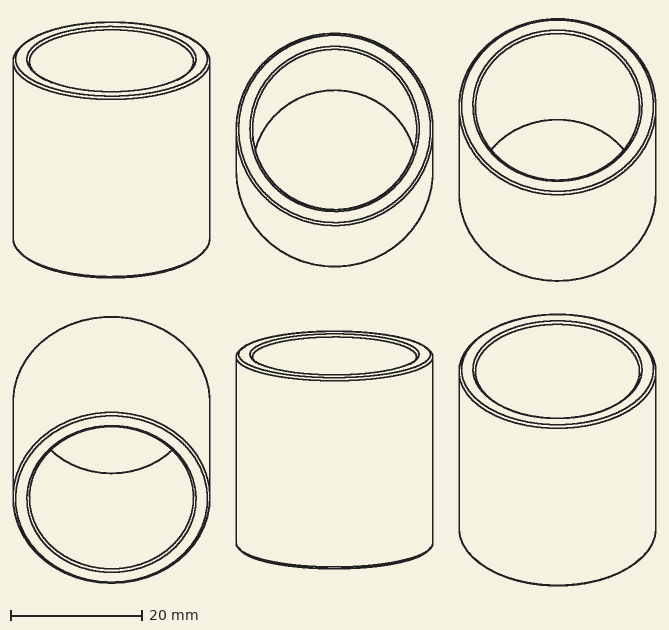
import cadquery as cq

outer_diameter = 30.0
bore_diameter = 25.0
length = 30.0
chamfer_size = 0.4

tube = (
    cq.Workplane("XY", origin=(0, 0, -length / 2))
    .circle(outer_diameter / 2)
    .circle(bore_diameter / 2)
    .extrude(length)
)

result = tube.faces("<Z or >Z").edges().chamfer(chamfer_size)